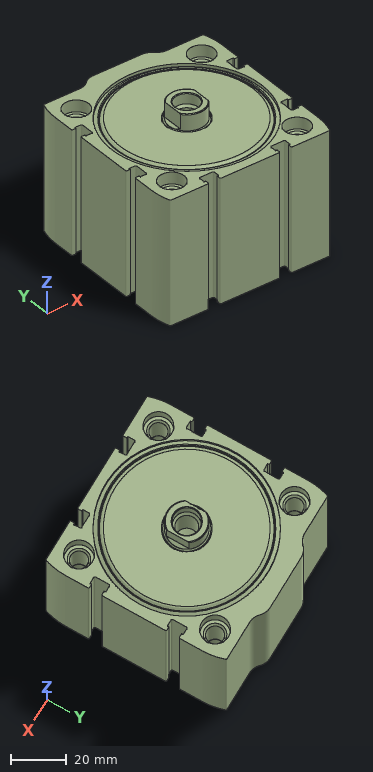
import cadquery as cq
import math

body_width = 75.0
half_width = body_width / 2
bump_rise = 3.5
bump_top = half_width + bump_rise
bump_half_flat = 10.9
bump_half_foot = 19.6
body_height = 55.0
side_bulge_start = 28.4
corner_inset = 1.6
side_bulge_angle = 2 * math.atan(corner_inset / (half_width - side_bulge_start))
corner_round = 0.5

slot_offset = 16.0
slot_mouth = 5.2
slot_pocket = 6.5
slot_depth = 4.95
slot_lip = 1.9
slot_round = 0.5

hole_offset = 28.2
hole_counterbore = 11.0
hole_counterbore_depth = 5.2
hole_thread_mouth = 8.4
hole_thread = 6.8
hole_thread_depth = 14.9
hole_through = 6.7

ring_wall_radius = 67.0 / 2
ring_rim_radius = 31.9
ring_bore_radius = 63.0 / 2
cap_foot_radius = 31.25
cap_shoulder_radius = 30.45
cap_face_radius = 29.8
ring_rim_depth = 0.4
ring_floor_depth = 1.3
cap_shoulder_depth = 0.35
cap_foot_depth = 1.0
cap_face_depth = 0.1

rod_diameter = 16.0
rod_radius = rod_diameter / 2
rod_top = 62.0
rod_bottom = 15.7
rod_chamfer = 0.3
flat_width = 12.95
flat_end = 55.35
flat_ramp_drop = 0.9
wiper_radius = 18.1 / 2
wiper_foot_radius = 8.6
wiper_rim_depth = 0.3
wiper_floor_depth = wiper_rim_depth + wiper_foot_radius - rod_radius

bore_mouth_radius = 11.15 / 2
bore_radius = 10.5 / 2
bore_depth = 4.8
tap_radius = 8.55 / 2
tap_depth = 19.6
drill_tip_angle = 118.0


def revolved(points):
    """Solid of revolution about Z from (radius, z) points."""
    return cq.Workplane("XZ").polyline(points).close().revolve(360, (0, 0, 0), (0, 1, 0))


def block():
    """Extruded outline with bulged X faces and a raised pad on the +Y face."""
    corner_x = half_width - corner_inset
    bulge_radius = (half_width - side_bulge_start) / math.sin(side_bulge_angle)
    mid_angle = side_bulge_angle / 2
    arc_mid_x = half_width - bulge_radius * (1 - math.cos(mid_angle))
    arc_mid_y = side_bulge_start + bulge_radius * math.sin(mid_angle)
    pad_mid = ((bump_half_flat + bump_half_foot) / 2, half_width + bump_rise / 2)
    outline = (
        cq.Workplane("XY")
        .moveTo(-corner_x, -half_width)
        .lineTo(corner_x, -half_width)
        .threePointArc((arc_mid_x, -arc_mid_y), (half_width, -side_bulge_start))
        .lineTo(half_width, side_bulge_start)
        .threePointArc((arc_mid_x, arc_mid_y), (corner_x, half_width))
        .lineTo(bump_half_foot, half_width)
        .tangentArcPoint(pad_mid, relative=False)
        .tangentArcPoint((bump_half_flat, bump_top), relative=False)
        .lineTo(-bump_half_flat, bump_top)
        .tangentArcPoint((-pad_mid[0], pad_mid[1]), relative=False)
        .tangentArcPoint((-bump_half_foot, half_width), relative=False)
        .lineTo(-corner_x, half_width)
        .threePointArc((-arc_mid_x, arc_mid_y), (-half_width, side_bulge_start))
        .lineTo(-half_width, -side_bulge_start)
        .threePointArc((-arc_mid_x, -arc_mid_y), (-corner_x, -half_width))
        .close()
    )
    solid = outline.extrude(body_height)
    reach = 0.4
    for x in (-corner_x, corner_x):
        for y in (-half_width, half_width):
            corner_box = cq.selectors.BoxSelector(
                (x - reach, y - reach, 0), (x + reach, y + reach, body_height)
            )
            solid = solid.edges("|Z").edges(corner_box).fillet(corner_round)
    return solid


def slot(face_angle, offset):
    """T-slot along Z, shaped for the -Y face and then turned about Z by face_angle."""
    face_y = -half_width
    lip_y = face_y + slot_lip
    floor_y = face_y + slot_depth
    round_y = face_y + slot_round
    mouth = slot_mouth / 2
    flare = mouth + slot_round
    arc_inset = slot_round * (1 - math.sqrt(0.5))
    throat = (
        cq.Workplane("XY")
        .moveTo(-flare, face_y)
        .threePointArc((-mouth - arc_inset, face_y + arc_inset), (-mouth, round_y))
        .lineTo(-mouth, lip_y)
        .lineTo(mouth, lip_y)
        .lineTo(mouth, round_y)
        .threePointArc((mouth + arc_inset, face_y + arc_inset), (flare, face_y))
        .close()
        .extrude(body_height)
    )
    pocket = (
        cq.Workplane("XY", origin=(0, (lip_y + floor_y) / 2, 0))
        .rect(slot_pocket, floor_y - lip_y)
        .extrude(body_height)
        .faces(">Y")
        .edges("|Z")
        .fillet(slot_round)
    )
    return throat.union(pocket).translate((offset, 0, 0)).rotate((0, 0, 0), (0, 0, 1), face_angle)


def mounting_hole():
    """Counterbored hole with a thread below the counterbore, on the Z axis."""
    seat_z = body_height - hole_counterbore_depth
    thread_z = seat_z - (hole_thread_mouth - hole_thread) / 2
    return revolved([
        (0, 0),
        (hole_through / 2, 0),
        (hole_through / 2, seat_z - hole_thread_depth),
        (hole_thread / 2, seat_z - hole_thread_depth),
        (hole_thread / 2, thread_z),
        (hole_thread_mouth / 2, seat_z),
        (hole_counterbore / 2, seat_z),
        (hole_counterbore / 2, body_height),
        (0, body_height),
    ])


def cap_groove():
    """Space above the end cap: a stepped ring groove around the flat cap face."""
    bore_edge_depth = ring_rim_depth + ring_rim_radius - ring_bore_radius
    top = body_height
    return revolved([
        (0, top),
        (ring_wall_radius, top),
        (ring_wall_radius, top - ring_floor_depth),
        (ring_rim_radius, top - ring_rim_depth),
        (ring_bore_radius, top - bore_edge_depth),
        (ring_bore_radius, top - cap_foot_depth),
        (cap_foot_radius, top - cap_foot_depth),
        (cap_shoulder_radius, top - cap_shoulder_depth),
        (cap_face_radius, top - cap_face_depth),
        (0, top - cap_face_depth),
    ])


def rod_passage():
    """Blind bore that holds the rod, with a raised conical wiper lip in a seat at the top."""
    top = body_height
    return revolved([
        (0, rod_bottom),
        (rod_radius, rod_bottom),
        (rod_radius, top - wiper_rim_depth),
        (wiper_foot_radius, top - wiper_floor_depth),
        (wiper_radius, top - wiper_floor_depth),
        (wiper_radius, top),
        (0, top),
    ])


def make_housing():
    solid = block()
    for face_angle in (0, 90, -90):
        for offset in (-slot_offset, slot_offset):
            solid = solid.cut(slot(face_angle, offset))
    for x in (-hole_offset, hole_offset):
        for y in (-hole_offset, hole_offset):
            solid = solid.cut(mounting_hole().translate((x, y, 0)))
    return solid.cut(cap_groove()).cut(rod_passage())


def make_rod():
    """Rod with two wrench flats and a counterbored, tapped hole in its top end."""
    rod = (
        cq.Workplane("XY", origin=(0, 0, rod_bottom))
        .circle(rod_radius)
        .extrude(rod_top - rod_bottom)
        .faces(">Z")
        .chamfer(rod_chamfer)
    )
    flat_x = flat_width / 2
    flat_cut = (
        cq.Workplane("XZ")
        .polyline([
            (flat_x, rod_top),
            (flat_x, flat_end),
            (rod_radius, flat_end - flat_ramp_drop),
            (rod_radius, rod_top),
        ])
        .close()
        .extrude(rod_radius, both=True)
    )
    rod = rod.cut(flat_cut).cut(flat_cut.mirror("YZ"))
    tip = tap_radius / math.tan(math.radians(drill_tip_angle / 2))
    bore = revolved([
        (0, rod_top),
        (bore_mouth_radius, rod_top),
        (bore_radius, rod_top - (bore_mouth_radius - bore_radius)),
        (bore_radius, rod_top - bore_depth),
        (tap_radius, rod_top - bore_depth - (bore_radius - tap_radius)),
        (tap_radius, rod_top - tap_depth),
        (0, rod_top - tap_depth - tip),
    ])
    return rod.cut(bore)


housing = make_housing()
rod = make_rod()
result = cq.Compound.makeCompound([housing.val(), rod.val()])